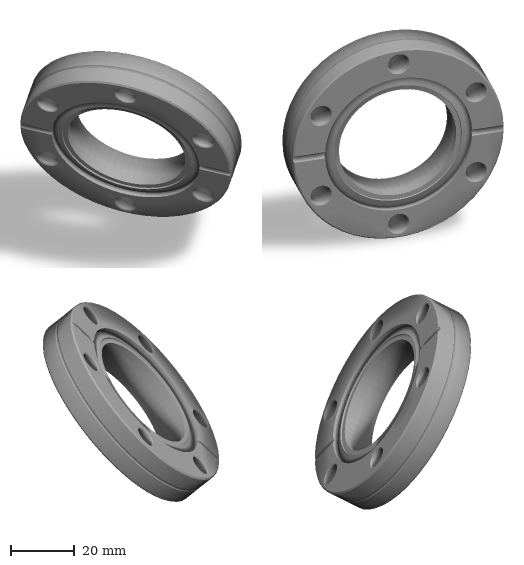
import cadquery as cq
import math

outer_diameter = 69.1
thickness = 12.7
bore_diameter = 38.4
rim_chamfer = 0.5

recess_diameter = 48.2
recess_depth = 1.9
knife_diameter = 41.9
knife_tip_depth = 0.7
knife_inner_taper = 0.15
land_depth = 1.2

bolt_count = 6
bolt_circle_diameter = 58.7
bolt_hole_diameter = 6.7
bolt_hole_chamfer = 0.3
first_bolt_angle = 90.0

leak_groove_width = 2.3
leak_groove_depth = 0.6

rim_groove_width = 1.0
rim_groove_depth = 0.3

outer_radius = outer_diameter / 2
half_thickness = thickness / 2


def arc_radius(width, depth):
    """Radius of a circular arc with the given chord width and depth."""
    return ((width / 2) ** 2 + depth**2) / (2 * depth)


def revolve_about_y(profile):
    return profile.close().revolve(360, (0, 0, 0), (0, 1, 0))


def make_disc():
    """Ring with chamfered outer edges and a groove around its rim."""
    half_groove = rim_groove_width / 2
    bore_radius = bore_diameter / 2
    profile = (
        cq.Workplane("XY")
        .moveTo(bore_radius, -half_thickness)
        .lineTo(outer_radius - rim_chamfer, -half_thickness)
        .lineTo(outer_radius, -half_thickness + rim_chamfer)
        .lineTo(outer_radius, -half_groove)
        .threePointArc((outer_radius - rim_groove_depth, 0), (outer_radius, half_groove))
        .lineTo(outer_radius, half_thickness - rim_chamfer)
        .lineTo(outer_radius - rim_chamfer, half_thickness)
        .lineTo(bore_radius, half_thickness)
    )
    return revolve_about_y(profile)


def make_recess():
    """Material removed from the -Y face, leaving the land and the knife edge."""
    face = -half_thickness
    knife_radius = knife_diameter / 2
    profile = (
        cq.Workplane("XY")
        .moveTo(0, face)
        .lineTo(recess_diameter / 2, face)
        .lineTo(recess_diameter / 2, face + recess_depth)
        .lineTo(knife_radius, face + knife_tip_depth)
        .lineTo(knife_radius - knife_inner_taper, face + land_depth)
        .lineTo(0, face + land_depth)
    )
    return revolve_about_y(profile)


def make_leak_grooves():
    """Rod along X that cuts a groove on each side of the recess in the -Y face."""
    radius = arc_radius(leak_groove_width, leak_groove_depth)
    axis_y = -half_thickness + leak_groove_depth - radius
    rod = cq.Workplane("YZ").center(axis_y, 0).circle(radius).extrude(outer_radius, both=True)
    kept_core = cq.Workplane("XZ").circle(recess_diameter / 2).extrude(thickness, both=True)
    return rod.cut(kept_core)


def make_bolt_hole():
    """Through hole along Y, centred on the Y axis and chamfered at both ends."""
    radius = bolt_hole_diameter / 2
    profile = (
        cq.Workplane("XY")
        .moveTo(0, -half_thickness)
        .lineTo(radius + bolt_hole_chamfer, -half_thickness)
        .lineTo(radius, -half_thickness + bolt_hole_chamfer)
        .lineTo(radius, half_thickness - bolt_hole_chamfer)
        .lineTo(radius + bolt_hole_chamfer, half_thickness)
        .lineTo(0, half_thickness)
    )
    return revolve_about_y(profile)


result = make_disc()

for face_cut in (make_recess(), make_leak_grooves()):
    result = result.cut(face_cut).cut(face_cut.mirror("XZ"))

bolt_hole = make_bolt_hole()
for index in range(bolt_count):
    angle = math.radians(first_bolt_angle + index * 360 / bolt_count)
    hole_x = bolt_circle_diameter / 2 * math.cos(angle)
    hole_z = bolt_circle_diameter / 2 * math.sin(angle)
    result = result.cut(bolt_hole.translate((hole_x, 0, hole_z)))